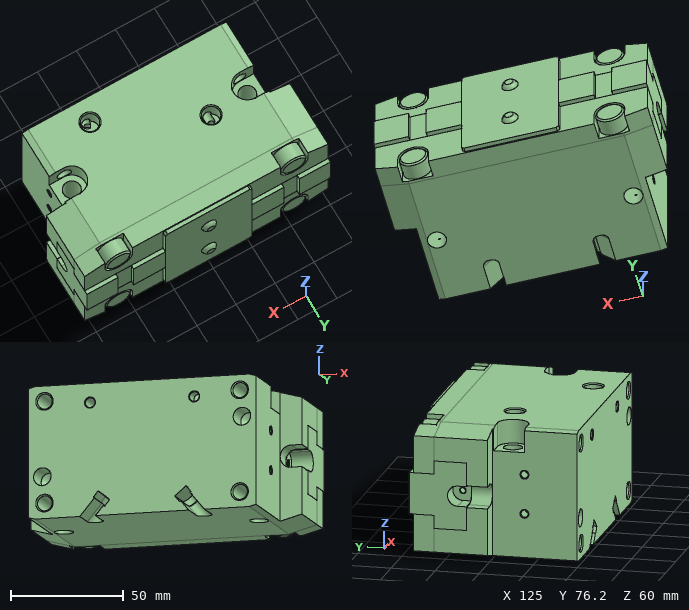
import cadquery as cq
import math


length = 125.0
height = 60.0
half_length = length / 2
half_height = height / 2
block_half_length = 52.5
ear_y = 38.5
rail_y = 62.8
rail_back_y = 72.1
plate_back_y = 74.1
bevel_start_x = 49.4
bevel_angle = 15.0
corner_half_height = half_height - (half_length - bevel_start_x) * math.tan(math.radians(bevel_angle))

jaw_inner_x = 22.2
key_groove_x = 42.5
key_groove_width = 8.0
jaw_head_y = 48.0
jaw_head_half_width = 15.5
jaw_stem_half_width = 9.5
jaw_hole_y = 52.0
jaw_recess_width = 9.2
ear_slot_width = 10.0

plate_half_height = 29.1
plate_chamfer = 1.1
button_z = 13.5
button_radius = 3.8
button_middle_radius = 3.2
button_flat_radius = 2.0
button_height = 2.1

bolt_x = 45.0
bolt_z = 23.0
counterbore_diameter = 14.0
screw_head_diameter = 13.0
screw_head_height = 8.0
screw_head_chamfer = 0.8
cross_hole_y = 31.0
cross_hole_diameter = 8.4
cross_counterbore_depth = 10.9

drill_tip_angle = 118.0
mounting_thread = (6.8, 8.0, 25.0)
side_thread = (3.2, 4.0, 8.0)
jaw_thread = (2.5, 3.0, 6.0)
side_hole_y = 24.0
side_hole_z = 9.0
dowel_x = 46.0
dowel_z = 11.0
dowel_diameter = 8.0
dowel_depth = 12.0

port_x = 24.0
port_z = 21.2
port_core = 4.4
port_thread = 5.0
top_port_core = 8.6
top_port_thread = 9.8
top_port_depth = 9.8
passage_diameter = 2.9
passage_depth = 15.0
air_ports = [
    (-port_x, 35.1, 35.2, 35.1),
    (port_x, 11.0, 8.2, 8.6),
]

sensor_mouth_x = 25.1
sensor_angle = 50.0
sensor_length = 11.6
sensor_head_length = 3.5
sensor_width = 5.5
sensor_head_width = 6.8
sensor_axis_y = 12.0

SIDES = (-1, 1)


def box(x_range, y_range, z_range):
    """Box given by its limits along the three axes."""
    low, high = zip(x_range, y_range, z_range)
    size = [b - a for a, b in zip(low, high)]
    return cq.Workplane(cq.Solid.makeBox(*size, cq.Vector(*low)))


def cylinder(diameter, depth, start, direction):
    return cq.Workplane(
        cq.Solid.makeCylinder(diameter / 2, depth, cq.Vector(*start), cq.Vector(*direction))
    )


def drilled_hole(diameter, depth, start, direction):
    """Blind hole with a conical drill tip beyond its depth."""
    radius = diameter / 2
    tip = radius / math.tan(math.radians(drill_tip_angle / 2))
    end = cq.Vector(*start) + cq.Vector(*direction) * depth
    cone = cq.Solid.makeCone(radius, 0, tip, end, cq.Vector(*direction))
    return cylinder(diameter, depth, start, direction).union(cq.Workplane(cone))


def entry_chamfer(core, thread, start, direction):
    """45-degree countersink from the thread diameter down to the core diameter."""
    chamfer = (thread - core) / 2
    return cq.Workplane(
        cq.Solid.makeCone(thread / 2, core / 2, chamfer, cq.Vector(*start), cq.Vector(*direction))
    )


def tapped_hole(core, thread, depth, start, direction):
    hole = drilled_hole(core, depth, start, direction)
    return hole.union(entry_chamfer(core, thread, start, direction))


def bevelled_prism(y_start, y_end):
    """Full-length slab along Y whose top and bottom are bevelled towards both ends."""
    corners = [
        (half_length, -corner_half_height), (half_length, corner_half_height),
        (bevel_start_x, half_height), (-bevel_start_x, half_height),
        (-half_length, corner_half_height), (-half_length, -corner_half_height),
        (-bevel_start_x, -half_height), (bevel_start_x, -half_height),
    ]
    slab = cq.Workplane("XZ", origin=(0, y_start, 0)).polyline(corners).close()
    return slab.extrude(y_start - y_end)


def jaw_blank(side):
    """T-shaped jaw without its recess, hole and key groove; it is also the shape of the pocket."""
    x_range = sorted((side * jaw_inner_x, side * half_length))
    head = box(x_range, (jaw_head_y, rail_y), (-jaw_head_half_width, jaw_head_half_width))
    stem = box(x_range, (rail_y, plate_back_y), (-jaw_stem_half_width, jaw_stem_half_width))
    return head.union(stem)


def jaw(side):
    """Jaw with a key groove in its back, and a tapped hole in a round-ended recess at its outer end."""
    x_range = sorted((side * block_half_length, side * half_length))
    half_width = jaw_recess_width / 2
    floor_point = (side * block_half_length, jaw_hole_y, 0)
    recess = box(x_range, (jaw_head_y, jaw_hole_y), (-half_width, half_width))
    recess = recess.union(
        cylinder(jaw_recess_width, half_length - block_half_length, floor_point, (side, 0, 0))
    )
    hole = tapped_hole(*jaw_thread, floor_point, (-side, 0, 0))
    groove = box(
        (side * key_groove_x - key_groove_width / 2, side * key_groove_x + key_groove_width / 2),
        (rail_back_y, plate_back_y),
        (-jaw_stem_half_width, jaw_stem_half_width),
    )
    return jaw_blank(side).cut(recess).cut(hole).cut(groove)


def ear_slot(side):
    """Round-ended slot through the ear, leading from its front face to the jaw recess."""
    half_width = ear_slot_width / 2
    centre_x = side * (block_half_length + half_width)
    y_range = (ear_y, jaw_head_y)
    slot = box(sorted((centre_x, side * half_length)), y_range, (-half_width, half_width))
    end = cylinder(ear_slot_width, jaw_head_y - ear_y, (centre_x, ear_y, 0), (0, 1, 0))
    return slot.union(end)


def cover_plate():
    """Plate with chamfered corners that fills the space between the jaws."""
    plate = box(
        (-jaw_inner_x, jaw_inner_x),
        (rail_back_y, plate_back_y),
        (-plate_half_height, plate_half_height),
    )
    return plate.edges("|Y").chamfer(plate_chamfer)


def button(z):
    """Domed button with a flat end on the back of the cover plate."""
    rim_y = plate_back_y
    top_y = plate_back_y + button_height
    middle = (button_middle_radius, plate_back_y + button_height / 2)
    profile = (
        cq.Workplane("XY").moveTo(0, rim_y).lineTo(button_radius, rim_y)
        .threePointArc(middle, (button_flat_radius, top_y)).lineTo(0, top_y).close()
    )
    return profile.revolve(360, (0, 0, 0), (0, 1, 0)).translate((0, 0, z))


def screw_recess(x, side):
    """Counterbore in the back of a rail, open towards the top or bottom of the housing."""
    radius = counterbore_diameter / 2
    floor_y = rail_back_y - screw_head_height
    opening = box(
        (x - radius, x + radius), (floor_y, rail_back_y), sorted((side * bolt_z, side * half_height))
    )
    bore = cylinder(counterbore_diameter, screw_head_height, (x, floor_y, side * bolt_z), (0, 1, 0))
    return opening.union(bore)


def screw_head(x, side):
    floor_y = rail_back_y - screw_head_height
    head = cylinder(screw_head_diameter, screw_head_height, (x, floor_y, side * bolt_z), (0, 1, 0))
    return head.faces(">Y").chamfer(screw_head_chamfer)


def cross_bolt_hole(side):
    """Through hole along Z with a counterbore that opens towards the end of the block."""
    x = side * bolt_x
    radius = counterbore_diameter / 2
    floor_z = half_height - cross_counterbore_depth
    hole = cylinder(cross_hole_diameter, height, (x, cross_hole_y, -half_height), (0, 0, 1))
    bore = cylinder(counterbore_diameter, cross_counterbore_depth, (x, cross_hole_y, floor_z), (0, 0, 1))
    opening = box(
        sorted((x, side * block_half_length)),
        (cross_hole_y - radius, cross_hole_y + radius),
        (floor_z, half_height),
    )
    return hole.union(bore).union(opening)


def air_port(x, top_y, front_depth, passage_y):
    """Front port and top port that meet, with a narrow passage drilled further down."""
    front = tapped_hole(port_core, port_thread, front_depth, (x, 0, port_z), (0, 1, 0))
    top_start = (x, top_y, half_height)
    top = cylinder(top_port_core, top_port_depth, top_start, (0, 0, -1))
    top = top.union(entry_chamfer(top_port_core, top_port_thread, top_start, (0, 0, -1)))
    passage = drilled_hole(
        passage_diameter, passage_depth - top_port_depth,
        (x, passage_y, half_height - top_port_depth), (0, 0, -1),
    )
    return front.union(top).union(passage)


def slanted_channel(width, start, end):
    """Upright channel of the given width, round at its deep end, between two distances along Z."""
    half_width = width / 2
    channel = box((-half_width, half_width), (0, sensor_axis_y), (start, end))
    return channel.union(cylinder(width, end - start, (0, sensor_axis_y, start), (0, 0, 1)))


def sensor_slot(side):
    """Slot that climbs inwards from the bottom edge and widens at its upper end."""
    run_out = sensor_width
    slot = slanted_channel(sensor_width, -run_out, sensor_length)
    slot = slot.union(
        slanted_channel(sensor_head_width, sensor_length - sensor_head_length, sensor_length)
    )
    slot = slot.rotate((0, 0, 0), (0, 1, 0), -side * (90 - sensor_angle))
    return slot.translate((side * sensor_mouth_x, 0, -half_height))


def make_housing():
    body = box((-block_half_length, block_half_length), (0, ear_y), (-half_height, half_height))
    body = body.intersect(bevelled_prism(0, ear_y))
    body = body.union(bevelled_prism(ear_y, rail_y))
    rails = bevelled_prism(rail_y, rail_back_y)

    for side in SIDES:
        for x in (-bolt_x, bolt_x):
            rails = rails.cut(screw_recess(x, side)).union(screw_head(x, side))

    body = body.union(rails, clean=False).union(cover_plate(), clean=False)
    for z in (-button_z, button_z):
        body = body.union(button(z), clean=False)

    cuts = [air_port(*port) for port in air_ports]
    for side in SIDES:
        cuts += [jaw_blank(side), ear_slot(side), cross_bolt_hole(side), sensor_slot(side)]
        cuts.append(drilled_hole(dowel_diameter, dowel_depth, (side * dowel_x, 0, side * dowel_z), (0, 1, 0)))
        for end in SIDES:
            cuts.append(tapped_hole(*mounting_thread, (side * bolt_x, 0, end * bolt_z), (0, 1, 0)))
            side_start = (side * block_half_length, side_hole_y, end * side_hole_z)
            cuts.append(tapped_hole(*side_thread, side_start, (-side, 0, 0)))
    for cut in cuts:
        body = body.cut(cut, clean=False)
    return body


housing = make_housing()
jaws = [jaw(side) for side in SIDES]

result = cq.Compound.makeCompound([housing.val(), *[one_jaw.val() for one_jaw in jaws]])